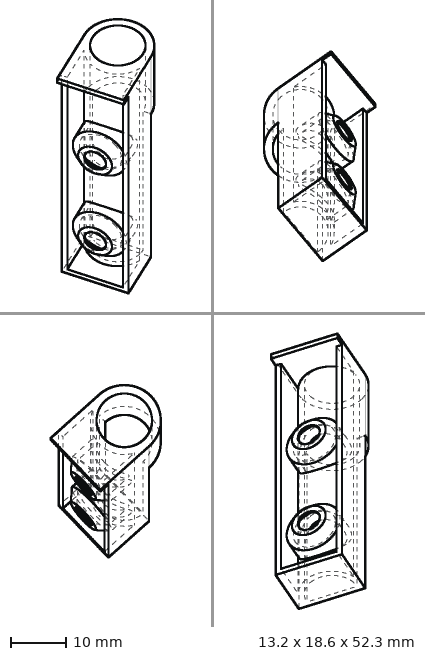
import cadquery as cq

width = 13.2
height = 52.3
body_depth = 10.0
wall = 1.1

plate_overhang = 2.0
collar_height = 15.0

rod_diameter = 10.0
rod_radius = rod_diameter / 2
channel_outer_radius = rod_radius + wall

boss_diameter = 10.6
boss_tip_diameter = 6.7
boss_front = body_depth
lower_boss_z = 10.8
boss_spacing = 21.0
screw_diameter = 4.3
screw_head_diameter = 8.4
tip_thickness = 0.35


def box(x_size, y_min, y_max, z_min, z_max):
    """Box centred on X = 0 with the given Y and Z limits."""
    blank = cq.Workplane("XY").box(x_size, y_max - y_min, z_max - z_min, centered=(True, False, False))
    return blank.translate((0, y_min, z_min))


def upright_cylinder(radius, z_min, z_max):
    """Cylinder on the rod axis."""
    return cq.Workplane("XY").workplane(offset=z_min).circle(radius).extrude(z_max - z_min)


def make_shell():
    """Body with the collar and top plate, hollowed from the front around the channel wall."""
    body = box(width, -body_depth, 0, 0, height)
    plate = box(width, -body_depth - plate_overhang, 0, height - wall, height)
    collar = upright_cylinder(width / 2, height - collar_height, height)
    cavity = box(width - 2 * wall, -body_depth, 0, wall, height - wall)
    cavity = cavity.cut(upright_cylinder(channel_outer_radius, 0, height))
    return body.union(collar).cut(cavity).union(plate)


def revolve_about_y(profile, z):
    """Revolve (radius, distance in front of the back face) points about a Y-parallel axis at height z."""
    points = [(radius, -distance) for radius, distance in profile]
    return cq.Workplane("XY").polyline(points).close().revolve(360, (0, 0, 0), (0, 1, 0)).translate((0, 0, z))


def make_boss(z):
    """Cylindrical boss with a 45 degree conical tip."""
    cone_length = (boss_diameter - boss_tip_diameter) / 2
    cone_start = boss_front - cone_length
    return revolve_about_y(
        [
            (0, 0),
            (boss_diameter / 2, 0),
            (boss_diameter / 2, cone_start),
            (boss_tip_diameter / 2, boss_front),
            (0, boss_front),
        ],
        z,
    )


def make_screw_cut(z):
    """Through hole with a 45 degree countersink and head clearance reached from the channel."""
    countersink_depth = (screw_head_diameter - screw_diameter) / 2
    countersink_end = boss_front - tip_thickness
    countersink_start = countersink_end - countersink_depth
    return revolve_about_y(
        [
            (0, 0),
            (screw_head_diameter / 2, 0),
            (screw_head_diameter / 2, countersink_start),
            (screw_diameter / 2, countersink_end),
            (screw_diameter / 2, boss_front),
            (0, boss_front),
        ],
        z,
    )


boss_heights = [lower_boss_z, lower_boss_z + boss_spacing]

result = make_shell()
for boss_z in boss_heights:
    result = result.union(make_boss(boss_z))
result = result.cut(upright_cylinder(rod_radius, wall, height))
for boss_z in boss_heights:
    result = result.cut(make_screw_cut(boss_z))